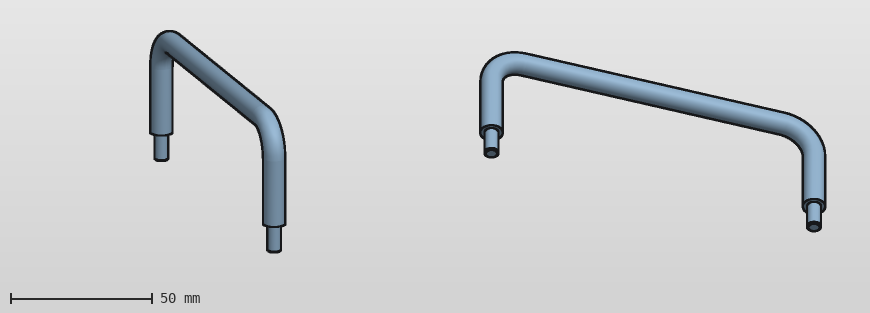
import cadquery as cq

rod_diameter = 8.0
leg_spacing = 120.0
grip_height = 40.0
bend_radius = 12.0
stud_diameter = 5.0
stud_length = 10.0
stud_chamfer = 0.5

half_spacing = leg_spacing / 2
axis_height = grip_height - rod_diameter / 2
bend_start_height = axis_height - bend_radius


def make_bar():
    """Round bar swept up one leg, across the grip and down the other leg, shoulders at Z = 0."""
    path = (
        cq.Workplane("XZ")
        .moveTo(-half_spacing, 0)
        .lineTo(-half_spacing, bend_start_height)
        .tangentArcPoint((bend_radius, bend_radius))
        .lineTo(half_spacing - bend_radius, axis_height)
        .tangentArcPoint((bend_radius, -bend_radius))
        .lineTo(half_spacing, 0)
    )
    return cq.Workplane("XY").center(-half_spacing, 0).circle(rod_diameter / 2).sweep(path)


def make_stud(x):
    """Stud hanging below the shoulder of the leg at x, with a chamfered tip."""
    return (
        cq.Workplane("XY")
        .center(x, 0)
        .circle(stud_diameter / 2)
        .extrude(-stud_length)
        .faces("<Z")
        .chamfer(stud_chamfer)
    )


result = make_bar()
for leg_x in (-half_spacing, half_spacing):
    result = result.union(make_stud(leg_x))